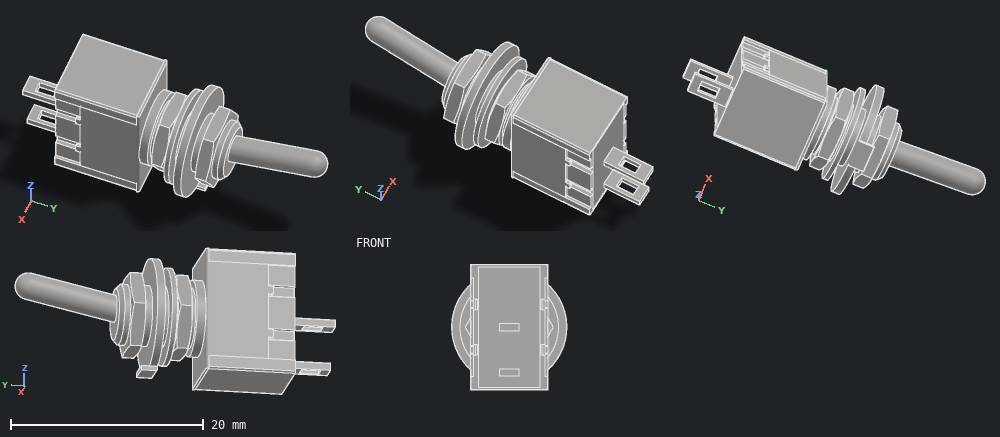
import cadquery as cq
import math


CASE_WIDTH = 8.0
CASE_HEIGHT = 13.0
CASE_END_Y = -9.43
CASE_CHAMFER = 0.2
CASE_FLOOR = 0.3

CORE_WIDTH = 6.4
CORE_HEIGHT = 12.45
TERMINAL_WIDTH = 1.98
TERMINAL_THICKNESS = 0.77
TERMINAL_EYE_WIDTH = 1.15
TERMINAL_EYE_LENGTH = 2.0
TERMINALS = [(0, -14.2, -11.95), (-4.7, -13.7, -11.7)]

SHEET = 0.3
BEND_RADIUS = 0.27
LEG_HEIGHT = 10.2
LEG_END_Y = -6.58
TAB_LENGTH = 0.55
TAB_HEIGHT = 0.87
TAB_CHAMFER = 0.1
FLANGE_LENGTH = 0.95
BUSHING_DIAMETER = 6.35
BUSHING_TIP_DIAMETER = 5.37
BUSHING_END_Y = 8.9

SLOT_MOUTH_HEIGHT = 1.17
SLOT_FLOOR_HEIGHT = 1.05
SLOT_PITCH = 4.7
SLOT_FLOOR_DEPTH = 0.7
SLOT_SLOPE_WIDTH = 0.2
SLOT_SLOPE_RISE = 0.2

NUT_SIDES = 6
NUT_FLATS = 7.9
NUT_FACE_DIAMETER = NUT_FLATS
NUTS = [(1.4, 1.5, 0.2), (6.35, 1.45, 0.15)]

WASHER_DIAMETER = 10.2
WASHER_THICKNESS = 0.55
WASHER_START_Y = 3.22
KEY_WASHER_DIAMETER = 11.95
KEY_WASHER_THICKNESS = 0.85
KEY_WASHER_START_Y = 4.63
KEY_WIDTH = 2.82
KEY_LENGTH = 1.7
KEY_TOP_Z = -5.8
KEY_THICKNESS = 0.47
KEY_BEND_RADIUS = 0.2

LEVER_DIAMETER = 2.8
LEVER_TILT = 12
LEVER_ROOT_Y = 6.05
LEVER_LENGTH = 13.6

SIDES = (-1, 1)
SLOT_ZS = (-SLOT_PITCH / 2, SLOT_PITCH / 2)


def block(width, y_start, y_end, height, x=0, z=0):
    """Box centred on (x, z) that runs from y_start to y_end."""
    center = (x, (y_start + y_end) / 2, z)
    return cq.Workplane("XY").box(width, abs(y_end - y_start), height).translate(center)


def rod(diameter, y_start, y_end):
    """Cylinder on the Y axis from y_start to y_end."""
    return cq.Workplane("XZ", origin=(0, y_start, 0)).circle(diameter / 2).extrude(y_start - y_end)


def make_lever():
    radius = LEVER_DIAMETER / 2
    shank = LEVER_LENGTH - radius
    profile = (
        cq.Workplane("XY")
        .lineTo(radius, 0)
        .lineTo(radius, shank)
        .radiusArc((0, LEVER_LENGTH), -radius)
        .close()
    )
    upright = profile.revolve(360, (0, 0, 0), (0, 1, 0))
    return upright.rotate((0, 0, 0), (1, 0, 0), LEVER_TILT).translate((0, LEVER_ROOT_Y, 0))


def make_tab(side, z):
    """Small chamfered tongue that continues a leg beyond its end."""
    x = side * (CASE_WIDTH - SHEET) / 2
    tab = block(SHEET, LEG_END_Y, LEG_END_Y - TAB_LENGTH, TAB_HEIGHT, x, z)
    return tab.faces("<Y").edges("|X").chamfer(TAB_CHAMFER)


def make_frame(lever):
    frame = block(CASE_WIDTH, 0, -SHEET, CASE_HEIGHT)
    frame = frame.faces(">Y").edges("|Z").fillet(BEND_RADIUS)
    for side in SIDES:
        leg_x = side * (CASE_WIDTH - SHEET) / 2
        frame = frame.union(block(SHEET, -SHEET, LEG_END_Y, LEG_HEIGHT, leg_x))
        for z in SLOT_ZS:
            frame = frame.union(make_tab(side, z))
    tip_chamfer = (BUSHING_DIAMETER - BUSHING_TIP_DIAMETER) / 2
    bushing = rod(BUSHING_DIAMETER, 0, BUSHING_END_Y).faces(">Y").chamfer(tip_chamfer)
    frame = frame.union(rod(CASE_WIDTH, 0, FLANGE_LENGTH)).union(bushing)
    return frame.cut(lever)


def make_slot(side, z):
    """Slot behind a tab: narrower toward its floor, with a sloped corner at its closed end."""
    mouth_x = side * (CASE_WIDTH / 2 - SHEET)
    slope_x = mouth_x - side * SLOT_SLOPE_WIDTH
    floor_x = side * (CASE_WIDTH / 2 - SLOT_FLOOR_DEPTH)
    slope_y = LEG_END_Y + SLOT_SLOPE_RISE
    side_outline = [
        (mouth_x, CASE_END_Y),
        (mouth_x, LEG_END_Y),
        (slope_x, slope_y),
        (floor_x, slope_y),
        (floor_x, CASE_END_Y),
    ]
    end_outline = [
        (mouth_x, z - SLOT_MOUTH_HEIGHT / 2),
        (mouth_x, z + SLOT_MOUTH_HEIGHT / 2),
        (floor_x, z + SLOT_FLOOR_HEIGHT / 2),
        (floor_x, z - SLOT_FLOOR_HEIGHT / 2),
    ]
    bottom = cq.Workplane("XY", origin=(0, 0, z - SLOT_MOUTH_HEIGHT / 2))
    slot = bottom.polyline(side_outline).close().extrude(SLOT_MOUTH_HEIGHT)
    tapered = cq.Workplane("XZ").polyline(end_outline).close().extrude(-CASE_END_Y)
    return slot.intersect(tapered)


def make_case():
    case = block(CASE_WIDTH, -SHEET, CASE_END_Y, CASE_HEIGHT).edges("|Y").chamfer(CASE_CHAMFER)
    case = case.cut(block(CORE_WIDTH, -SHEET - CASE_FLOOR, CASE_END_Y, CORE_HEIGHT))
    for side in SIDES:
        recess_x = side * (CASE_WIDTH - SHEET) / 2
        case = case.cut(block(SHEET, -SHEET, CASE_END_Y, LEG_HEIGHT, recess_x))
        for z in SLOT_ZS:
            case = case.cut(make_slot(side, z))
    return case


def make_core():
    core = block(CORE_WIDTH, -SHEET - CASE_FLOOR, CASE_END_Y, CORE_HEIGHT)
    for z, end_y, eye_y in TERMINALS:
        terminal = block(TERMINAL_WIDTH, CASE_END_Y, end_y, TERMINAL_THICKNESS, 0, z)
        eye_start = eye_y + TERMINAL_EYE_LENGTH / 2
        eye_end = eye_y - TERMINAL_EYE_LENGTH / 2
        eye = block(TERMINAL_EYE_WIDTH, eye_start, eye_end, TERMINAL_THICKNESS, 0, z)
        core = core.union(terminal.cut(eye))
    return core


def make_nut(start_y, thickness, cone_height):
    corner_radius = NUT_FLATS / 2 / math.cos(math.pi / NUT_SIDES)
    face_radius = NUT_FACE_DIAMETER / 2
    hexagon = cq.Workplane("XZ").polygon(NUT_SIDES, 2 * corner_radius).extrude(-thickness)
    envelope = (
        cq.Workplane("XY")
        .lineTo(face_radius, 0)
        .lineTo(corner_radius, cone_height)
        .lineTo(corner_radius, thickness - cone_height)
        .lineTo(face_radius, thickness)
        .lineTo(0, thickness)
        .close()
        .revolve(360, (0, 0, 0), (0, 1, 0))
    )
    nut = hexagon.intersect(envelope).cut(rod(BUSHING_DIAMETER, 0, thickness))
    return nut.translate((0, start_y, 0))


def make_ring(diameter, start_y, thickness):
    """Flat ring that fits around the bushing."""
    end_y = start_y + thickness
    return rod(diameter, start_y, end_y).cut(rod(BUSHING_DIAMETER, start_y, end_y))


def make_key_washer():
    ring = make_ring(KEY_WASHER_DIAMETER, KEY_WASHER_START_Y, KEY_WASHER_THICKNESS)
    key_z = KEY_TOP_Z - KEY_THICKNESS / 2
    key_end_y = KEY_WASHER_START_Y + KEY_LENGTH
    key = block(KEY_WIDTH, KEY_WASHER_START_Y, key_end_y, KEY_THICKNESS, 0, key_z)
    key = key.edges("|X and <Y and <Z").fillet(KEY_BEND_RADIUS)
    return ring.union(key)


lever = make_lever()
frame = make_frame(lever)
case = make_case()
core = make_core()
nuts = [make_nut(*sizes) for sizes in NUTS]
washer = make_ring(WASHER_DIAMETER, WASHER_START_Y, WASHER_THICKNESS)
key_washer = make_key_washer()

bodies = [lever, frame, case, core, *nuts, washer, key_washer]
result = cq.Compound.makeCompound([body.val() for body in bodies])